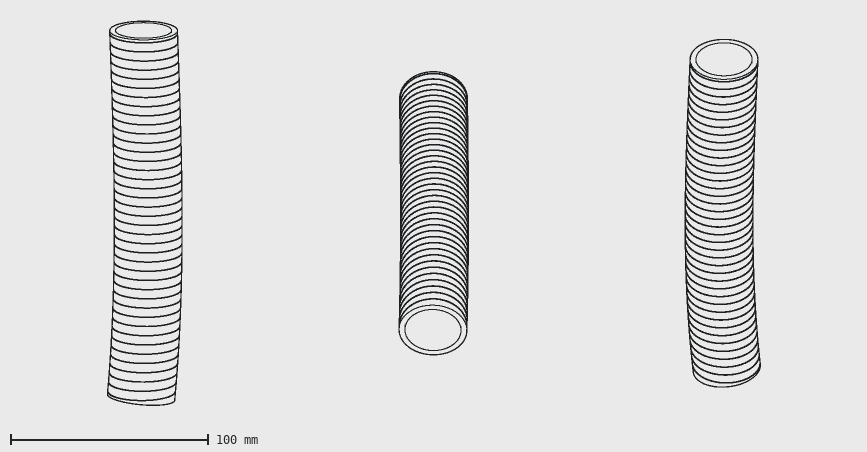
import cadquery as cq
import math

height = 194.6
outer_diameter = 34.5
inner_diameter = 28.5
outer_radius = outer_diameter / 2
inner_radius = inner_diameter / 2

top_lean = math.radians(2.3)
end_tilt = math.radians(5.9)
end_drop = height - outer_radius * math.sin(end_tilt)
bend = (math.tan(top_lean) + math.tan(end_tilt)) / (3 * end_drop**2)

groove_width = 0.2
groove_depth = 0.2
first_groove_drop = 1.62
last_groove_drop = 189.7
groove_count = 40
groove_pitch = (last_groove_drop - first_groove_drop) / (groove_count - 1)

overrun = 3.9


def center_y(drop):
    """Sideways place of the centre line at a given drop below the top face."""
    return math.tan(top_lean) * drop - bend * drop**3


def ring(radius, drop):
    """Level circle on the centre line."""
    center = cq.Vector(0, center_y(drop), height - drop)
    return cq.Wire.makeCircle(radius, center, cq.Vector(0, 0, 1))


def grooved_rod():
    """Solid bent rod with the ring grooves, made of stacked level rings."""
    groove_radius = outer_radius - groove_depth
    rings = [ring(outer_radius, 0)]
    for i in range(groove_count):
        upper = first_groove_drop + i * groove_pitch - groove_width / 2
        lower = upper + groove_width
        rings.append(ring(outer_radius, upper))
        rings.append(ring(groove_radius, upper))
        rings.append(ring(groove_radius, lower))
        rings.append(ring(outer_radius, lower))
    rings.append(ring(outer_radius, height + overrun))
    return cq.Workplane(cq.Solid.makeLoft(rings, True))


def bore():
    """Smooth bent core that hollows the hose out through both ends."""
    spans = 12
    top = -overrun
    step = (height + 3 * overrun) / spans
    rings = [ring(inner_radius, top + i * step) for i in range(spans + 1)]
    return cq.Workplane(cq.Solid.makeLoft(rings))


def end_trim():
    """Block below the bottom face, which is square to the centre line."""
    plane = cq.Plane(
        origin=(0, center_y(end_drop), height - end_drop),
        xDir=(1, 0, 0),
        normal=(0, -math.sin(end_tilt), -math.cos(end_tilt)),
    )
    size = 2 * outer_diameter
    return cq.Workplane(plane).rect(size, size).extrude(size)


result = grooved_rod().cut(bore()).cut(end_trim())